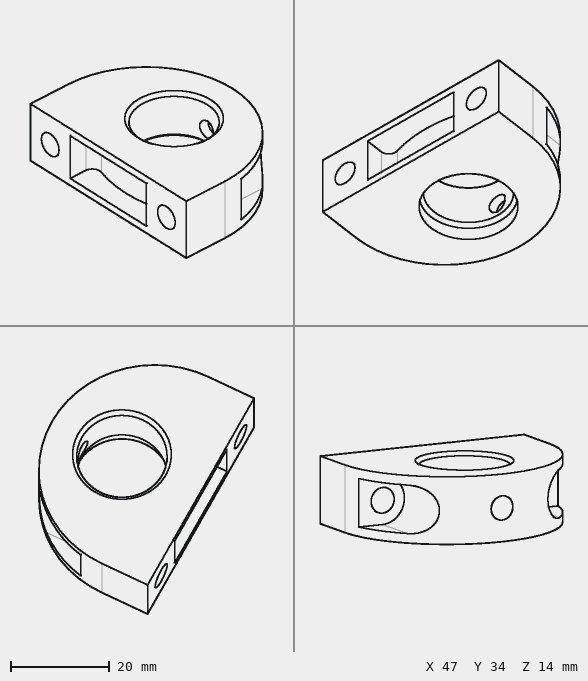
import cadquery as cq

width = 47.0
depth = 34.0
height = 14.0
back_radius = width / 2
back_center_y = depth - back_radius
mid_height = height / 2

bore_center_y = 18.0
bore_diameter = 18.3
relief_diameter = 20.0
relief_depth = 3.0
bore_chamfer = (relief_diameter - bore_diameter) / 2

pocket_width = 23.0
pocket_height = 10.5
pocket_depth = 4.8
pocket_wall_radius = 30.0
pocket_corner_radius = 2.0

screw_spacing = 35.0
screw_hole_diameter = 5.3
head_recess_diameter = 10.0
head_seat_y = 15.5

pin_diameter = 5.0
pin_length = 4.8
pin_tip_y = depth - pin_length
pin_passage_diameter = 4.2


def make_blank():
    return (
        cq.Workplane("XY")
        .moveTo(-width / 2, 0)
        .lineTo(width / 2, 0)
        .lineTo(width / 2, back_center_y)
        .threePointArc((0, depth), (-width / 2, back_center_y))
        .close()
        .extrude(height)
    )


def make_bore():
    """Bore with its end chamfers and bottom relief, revolved about the bore axis."""
    bore_radius = bore_diameter / 2
    relief_radius = relief_diameter / 2
    return (
        cq.Workplane("XZ")
        .polyline([
            (0, 0),
            (relief_radius, 0),
            (relief_radius, relief_depth),
            (bore_radius, relief_depth + bore_chamfer),
            (bore_radius, height - bore_chamfer),
            (relief_radius, height),
            (0, height),
        ])
        .close()
        .revolve(360, (0, 0), (0, 1))
        .translate((0, bore_center_y, 0))
    )


def make_pocket():
    """Front pocket whose rear wall bulges forward, with rounded rear corners."""
    wall_center_y = pocket_depth + pocket_wall_radius
    block = cq.Workplane("XY").box(
        pocket_width, wall_center_y, pocket_height, centered=(True, False, True)
    )
    wall = (
        cq.Workplane("XY")
        .center(0, wall_center_y)
        .circle(pocket_wall_radius)
        .extrude(pocket_height / 2, both=True)
    )
    pocket = block.cut(wall).edges("|Z and >Y").fillet(pocket_corner_radius)
    return pocket.translate((0, 0, mid_height))


def make_cylinder_along_y(diameter, start_y, end_y, x=0):
    return (
        cq.Workplane("XZ", origin=(x, start_y, mid_height))
        .circle(diameter / 2)
        .extrude(start_y - end_y)
    )


def make_screw_cut(side):
    """Through hole and head recess of one screw; side is -1 or +1 along X."""
    x = side * screw_spacing / 2
    recess = make_cylinder_along_y(head_recess_diameter, head_seat_y, depth, x)
    side_opening = (
        cq.Workplane("XY")
        .box(width / 2, depth - head_seat_y, head_recess_diameter, centered=(True, False, True))
        .translate((x + side * width / 4, head_seat_y, mid_height))
    )
    hole = make_cylinder_along_y(screw_hole_diameter, 0, depth, x)
    return hole.union(recess).union(side_opening)


def make_pin():
    """Plain pin with flat ends; its outer end reaches the rearmost line of the round back."""
    return make_cylinder_along_y(pin_diameter, pin_tip_y, depth)


def make_pin_hole():
    """Stepped hole: the pin seat, then a narrower passage from the seat into the bore."""
    passage = make_cylinder_along_y(pin_passage_diameter, bore_center_y, depth)
    return passage.union(make_pin())


def make_housing():
    body = make_blank().cut(make_bore()).cut(make_pocket())
    for side in (-1, 1):
        body = body.cut(make_screw_cut(side))
    return body.cut(make_pin_hole())


housing = make_housing()
pin = make_pin()

result = cq.Compound.makeCompound([housing.val(), pin.val()])